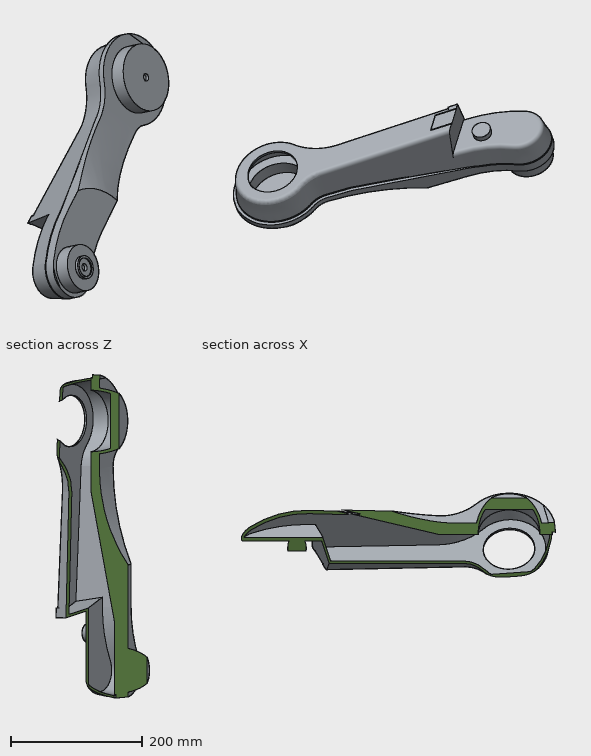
import cadquery as cq
import math

axis_elevation = 37.5

big_x, big_y = 175.0, 13.0
big_radius = 71.0
big_disc_diameter = 103.5
big_disc_top = 26.0
disc_hole_diameter = 11.5
disc_hole_depth = 5.0
bearing_recess_diameter = 94.0
bearing_recess_top = 15.5

small_x, small_y = -205.0, -13.5
small_radius = 42.5
small_boss_diameter = 71.5
small_boss_top = 60.0
collar_diameter = 35.5
collar_height = 5.0
collar_recess_diameter = 28.5
collar_recess_depth = 2.0
collar_hole_diameter = 11.5
collar_hole_depth = 5.0

neck_x = 67.0
neck_y = 40.0
bend_x = -130.0
bend_y = 43.5
back_neck_x = 106.0
back_bend_x = -108.5
back_y = -32.5

sweep_x, sweep_y = -148.0, -46.5
low_top = 3.0
high_top = 37.5
high_sweep_radius = 106.0
low_sweep_radius = 254.0
tip_sweep_radius = 390.5
tip_rise = 0.5

big_parting = -6.0
small_parting = 22.0
seam_gap = 2.0
seam_depth = 5.0

draft = 10.0
wall = 4.0
fillet_radius = 7.5
floor_at_big_end = -47.5
floor_slope = 0.043
small_floor = -14.5
step_x = -110.5
sharp_corner_x = -109.5
step_turn = 25.0
step_lean = 3.0
entry_diameter = 78.5
stop_pin_diameter = 28.5
stop_pin_x, stop_pin_y = -148.0, -2.5
stop_pin_bottom = -23.0
notch_length = 33.5
notch_width = 25.5
notch_y = 8.5
notch_depth = 1.5

prism_depth = 94.0
beyond = 740.5


def blend_point(start, normal, centre, radius, inside=False):
    """Point of an end circle where the arc leaving a straight edge at start meets it smoothly.

    The arc's centre lies along the unit normal from start. The arc passes outside the circle
    (a hollow neck) or, when inside is true, wraps round it.
    """
    dx, dy = start[0] - centre[0], start[1] - centre[1]
    signed_radius = -radius if inside else radius
    across = normal[0] * dx + normal[1] * dy
    arc_radius = (dx ** 2 + dy ** 2 - radius ** 2) / (2 * (signed_radius - across))
    reach = signed_radius / (arc_radius + signed_radius)
    return (
        centre[0] + reach * (dx + arc_radius * normal[0]),
        centre[1] + reach * (dy + arc_radius * normal[1]),
    )


def arm_outline(height):
    """Closed outline of the arm, drawn at the given height."""
    big = (big_x, big_y)
    small = (small_x, small_y)
    neck = (neck_x, neck_y)
    bend = (bend_x, bend_y)
    back_bend = (back_bend_x, back_y)
    back_neck = (back_neck_x, back_y)
    front_length = math.dist(neck, bend)
    outward = ((bend_y - neck_y) / front_length, (neck_x - bend_x) / front_length)
    inward = (-outward[0], -outward[1])
    backward = (0, -1)
    return (
        cq.Workplane("XY", origin=(0, 0, height))
        .moveTo(*neck)
        .lineTo(*bend)
        .tangentArcPoint(blend_point(bend, inward, small, small_radius, inside=True), relative=False)
        .threePointArc(
            (small_x - small_radius, small_y),
            blend_point(back_bend, backward, small, small_radius),
        )
        .tangentArcPoint(back_bend, relative=False)
        .lineTo(*back_neck)
        .tangentArcPoint(blend_point(back_neck, backward, big, big_radius), relative=False)
        .threePointArc(
            (big_x + big_radius, big_y),
            blend_point(neck, outward, big, big_radius),
        )
        .tangentArcPoint(neck, relative=False)
        .close()
    )


def side_block(points):
    """Block whose side profile is given as (x, z) points, running right across the arm."""
    return cq.Workplane("XZ").polyline(points).close().extrude(beyond / 2, both=True)


def space_above_parting(drop):
    """Everything above the parting line lowered by drop."""
    return side_block([
        (beyond, big_parting - drop),
        (neck_x, big_parting - drop),
        (bend_x, small_parting - drop),
        (-beyond, small_parting - drop),
        (-beyond, beyond),
        (beyond, beyond),
    ])


def cylinder(x, y, diameter, bottom, top):
    return (
        cq.Workplane("XY", origin=(x, y, bottom))
        .circle(diameter / 2)
        .extrude(top - bottom)
    )


def floor_height(x):
    return floor_at_big_end + floor_slope * (x - big_x)


def hollow_top_cutter():
    """Revolved space above the cover: flat, rising hollow, flat, and a tiny rise at the tip."""
    run = low_sweep_radius - high_sweep_radius
    rise = high_top - low_top
    hollow_radius = (run ** 2 + rise ** 2) / (2 * rise)
    half_angle = math.atan2(rise, run)
    middle_radius = low_sweep_radius - hollow_radius * math.sin(half_angle)
    middle_height = low_top + hollow_radius * (1 - math.cos(half_angle))
    return (
        cq.Workplane("XZ")
        .moveTo(0, high_top)
        .lineTo(high_sweep_radius, high_top)
        .threePointArc((middle_radius, middle_height), (low_sweep_radius, low_top))
        .lineTo(tip_sweep_radius, low_top)
        .lineTo(tip_sweep_radius, low_top + tip_rise)
        .lineTo(beyond, low_top + tip_rise)
        .lineTo(beyond, beyond)
        .lineTo(0, beyond)
        .close()
        .revolve(360, (0, 0, 0), (0, 1, 0))
        .translate((sweep_x, sweep_y, 0))
    )


def make_cover():
    height = high_top - big_parting
    plate = arm_outline(big_parting).extrude(height).intersect(space_above_parting(0))
    spigot = (
        arm_outline(big_parting - seam_gap)
        .offset2D(-seam_depth)
        .extrude(height)
        .intersect(space_above_parting(seam_gap))
    )
    cover = plate.union(spigot).cut(hollow_top_cutter())
    return add_small_boss(add_big_disc(cover))


def add_big_disc(cover):
    disc = cylinder(big_x, big_y, big_disc_diameter, low_top, big_disc_top)
    recess = cylinder(big_x, big_y, bearing_recess_diameter, big_parting - seam_gap, bearing_recess_top)
    hole = cylinder(big_x, big_y, disc_hole_diameter, big_disc_top - disc_hole_depth, big_disc_top)
    return cover.union(disc).cut(recess).cut(hole)


def add_small_boss(cover):
    collar_top = small_boss_top + collar_height
    recess_floor = collar_top - collar_recess_depth
    boss = cylinder(small_x, small_y, small_boss_diameter, high_top, small_boss_top)
    collar = cylinder(small_x, small_y, collar_diameter, small_boss_top, collar_top)
    recess = cylinder(small_x, small_y, collar_recess_diameter, recess_floor, collar_top)
    hole = cylinder(small_x, small_y, collar_hole_diameter, recess_floor - collar_hole_depth, recess_floor)
    return cover.union(boss).union(collar).cut(recess).cut(hole)


def space_below_floor(raised):
    """Everything below the sloping underside raised by the given amount."""
    return side_block([
        (beyond, floor_height(beyond) + raised),
        (-beyond, floor_height(-beyond) + raised),
        (-beyond, -beyond),
        (beyond, -beyond),
    ])


def space_below(height):
    return cq.Workplane("XY", origin=(0, 0, height)).rect(2 * beyond, 2 * beyond).extrude(-beyond)


def space_beyond_step(inset):
    """Everything on the small end's side of the leaning step face, moved inset into the arm."""
    return (
        cq.Workplane("XY")
        .box(beyond, beyond, beyond)
        .translate((inset - beyond / 2, 0, 0))
        .rotate((0, 0, 0), (0, 1, 0), step_lean)
        .rotate((0, 0, 0), (0, 0, 1), step_turn)
        .translate((step_x, 0, floor_at_big_end))
    )


def underside_notch():
    """Shallow slanted notch in the underside, opening on the step face."""
    strip = (
        cq.Workplane("XY")
        .rect(beyond, notch_width)
        .extrude(-beyond)
        .translate((0, notch_y, 0))
    )
    near_step = space_beyond_step(notch_length * math.cos(math.radians(step_turn)))
    return strip.intersect(near_step).intersect(space_below_floor(notch_depth)).cut(space_beyond_step(0))


def drafted_arm(inset):
    """Drafted prism inset from the outside of the housing, up to the underside of the seam."""
    outline = arm_outline(small_parting)
    if inset > 0:
        outline = outline.offset2D(-inset)
    return outline.extrude(-prism_depth, taper=draft).cut(space_above_parting(seam_gap))


def rounded_underneath(body):
    return body.faces("<Z").edges().fillet(fillet_radius)


def housing_outside():
    """Deep main length and shallow small end, both rounded underneath, meeting at the step face.

    The bottom corner right beside the step stays sharp.
    """
    arm = drafted_arm(0)
    sharp_length = arm.cut(space_below_floor(0))
    small_end = rounded_underneath(arm.cut(space_below(small_floor)))
    step_side = space_beyond_step(0)
    corner_side = side_block([
        (sharp_corner_x, beyond),
        (sharp_corner_x, -beyond),
        (-beyond, -beyond),
        (-beyond, beyond),
    ])
    main_length = rounded_underneath(sharp_length).cut(step_side).cut(corner_side)
    sharp_corner = sharp_length.intersect(corner_side).cut(step_side)
    return main_length.union(sharp_corner).union(small_end.intersect(step_side))


def housing_cavity():
    """Inside of the thin-walled housing."""
    cavity = drafted_arm(wall).cut(space_below_floor(wall))
    return cavity.cut(space_beyond_step(wall).intersect(space_below(small_floor + wall)))


def make_housing():
    shell = housing_outside().cut(housing_cavity()).cut(underside_notch())
    entry = cylinder(big_x, big_y, entry_diameter, -prism_depth, big_parting)
    pin = cylinder(stop_pin_x, stop_pin_y, stop_pin_diameter, stop_pin_bottom, small_floor)
    return shell.cut(entry).union(pin)


def stand_up(body):
    """Leans the flat-built arm over into its final pose."""
    lean = math.radians(axis_elevation)
    pose = cq.Plane((0, 0, 0), (0, 1, 0), (math.cos(lean), 0, math.sin(lean)))
    return body.solids().val().moved(cq.Location(pose))


cover = make_cover()
housing = make_housing()
result = cq.Compound.makeCompound([stand_up(cover), stand_up(housing)])